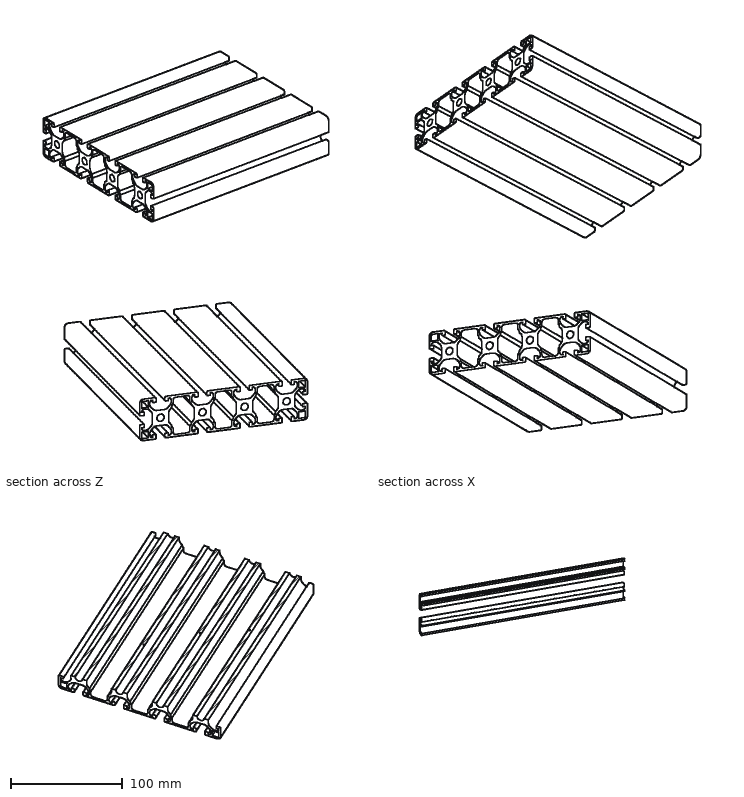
import cadquery as cq
import math

length = 200.0
pitch = 40.0
cell_count = 4
width = cell_count * pitch
half_cell = pitch / 2
cell_centers = [(i - (cell_count - 1) / 2) * pitch for i in range(cell_count)]

corner_radius = 4.0
wall = 2.2
skin_inside = half_cell - wall
core_half_width = 7.8
core_half_height = 7.5
bore_diameter = 6.8

opening_half = 4.2
lip_half = 7.5
lip_depth = 4.5
lip_edge_radius = 1.5
lip_tip_radius = 0.8
pocket_half = 10.2
flank_offset = 2.0
pocket_radius = 5.0
skin_blend_radius = 2.5
overcut = 2.0

corner_chamber_inside = 11.5
corner_chamber_radius = 1.0
web_face = 12.0
core_flat_half = 5.5
web_bend_radius = 4.8

blend_setback = math.tan(math.radians(22.5))
diagonal = math.sqrt(0.5)


def bar():
    """Solid bar with rounded long edges."""
    return cq.Workplane("XY").box(width, length, pitch).edges("|Y").fillet(corner_radius)


def section():
    """Workplane at the front end, with local Y pointing along +Z."""
    return cq.Workplane("XZ", origin=(0, -length / 2, 0))


def slot(floor):
    """Full-length cutter for an upward-facing slot whose floor is the given height above the Y axis."""
    setback = pocket_radius * blend_setback
    floor_x = floor - flank_offset - setback
    flank_start_x = floor - flank_offset + setback * diagonal
    flank_end_x = pocket_half - setback * diagonal
    side_z = pocket_half + flank_offset + setback
    blend_x = pocket_half - skin_blend_radius
    blend_z = skin_inside - skin_blend_radius
    lip_bottom = half_cell - lip_depth
    edge_x = opening_half + lip_edge_radius
    edge_z = half_cell - lip_edge_radius
    half = (
        section()
        .moveTo(0, floor)
        .lineTo(floor_x, floor)
        .radiusArc((flank_start_x, flank_start_x + flank_offset), -pocket_radius)
        .lineTo(flank_end_x, flank_end_x + flank_offset)
        .radiusArc((pocket_half, side_z), -pocket_radius)
        .lineTo(pocket_half, blend_z)
        .radiusArc((blend_x, skin_inside), -skin_blend_radius)
        .lineTo(lip_half, skin_inside)
        .lineTo(lip_half, lip_bottom + lip_tip_radius)
        .radiusArc((lip_half - lip_tip_radius, lip_bottom), lip_tip_radius)
        .lineTo(opening_half + lip_tip_radius, lip_bottom)
        .radiusArc((opening_half, lip_bottom + lip_tip_radius), lip_tip_radius)
        .lineTo(opening_half, edge_z)
        .radiusArc((edge_x, half_cell), lip_edge_radius)
        .lineTo(edge_x, half_cell + overcut)
        .lineTo(0, half_cell + overcut)
        .close()
        .extrude(-length)
    )
    return half.union(half.mirror("YZ"))


def turned_slot(floor, center_x, angle):
    """Slot cutter turned about the Y axis and moved to a cell."""
    return slot(floor).rotate((0, 0, 0), (0, 1, 0), angle).translate((center_x, 0, 0))


def between_cells_chamber():
    """Eight-sided chamber cutter with blended corners, centered between two neighboring cells."""
    setback = web_bend_radius * blend_setback
    side_x = half_cell - core_half_width
    web_x = half_cell - web_face
    bend_z = core_flat_half + web_face - core_half_width
    step = setback * diagonal
    blend_x = web_x - skin_blend_radius
    blend_z = skin_inside - skin_blend_radius
    quarter = (
        section()
        .lineTo(side_x, 0)
        .lineTo(side_x, core_flat_half - setback)
        .radiusArc((side_x - step, core_flat_half + step), -web_bend_radius)
        .lineTo(web_x + step, bend_z - step)
        .radiusArc((web_x, bend_z + setback), -web_bend_radius)
        .lineTo(web_x, blend_z)
        .radiusArc((blend_x, skin_inside), -skin_blend_radius)
        .lineTo(0, skin_inside)
        .close()
        .extrude(-length)
    )
    half = quarter.union(quarter.mirror("YZ"))
    return half.union(half.mirror("XY"))


def corner_chamber(side_x, side_z):
    """Square chamber cutter in one corner, rounded only at its outermost edge."""
    size = skin_inside - corner_chamber_inside
    middle = (skin_inside + corner_chamber_inside) / 2
    outer_edge = "|Y and " + (">X" if side_x > 0 else "<X")
    outermost = ">Z" if side_z > 0 else "<Z"
    cutter = cq.Workplane("XY").box(size, length, size)
    cutter = cutter.edges(outer_edge).edges(outermost).fillet(corner_chamber_radius)
    return cutter.translate((side_x * (width / 2 - half_cell + middle), 0, side_z * middle))


result = bar()

for center in cell_centers:
    for angle in (0, 180):
        result = result.cut(turned_slot(core_half_height, center, angle))

result = result.cut(turned_slot(core_half_width, cell_centers[0], -90))
result = result.cut(turned_slot(core_half_width, cell_centers[-1], 90))

for center in cell_centers[:-1]:
    result = result.cut(between_cells_chamber().translate((center + half_cell, 0, 0)))

for side_x in (-1, 1):
    for side_z in (-1, 1):
        result = result.cut(corner_chamber(side_x, side_z))

bores = section().pushPoints([(center, 0) for center in cell_centers])
result = result.cut(bores.circle(bore_diameter / 2).extrude(-length))